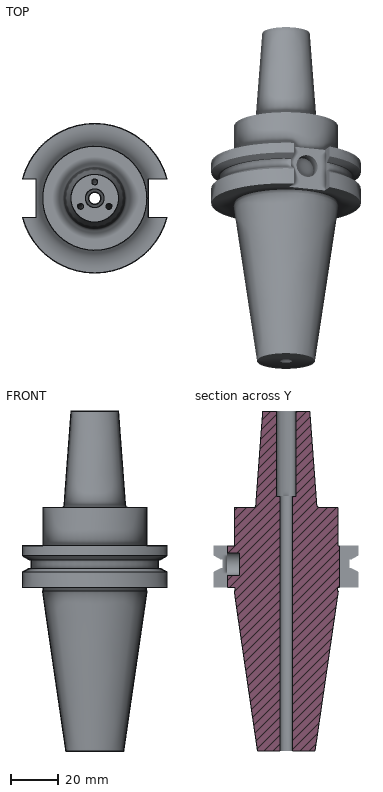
import cadquery as cq
import math

total_length = 144.5

taper_height = 68.2
taper_top_radius = 22.2
taper_bottom_radius = taper_top_radius - taper_height * 7 / 48
relief_radius = 22.0

flange_bottom = 69.5
flange_top = 87.4
flange_radius = 31.8
groove_floor_radius = 28.2
groove_shoulder_radius = 28.9
groove_bottom = 76.1
groove_floor_bottom = 77.7
groove_floor_top = 81.3
groove_top = 83.0

slot_width = 16.2
left_slot_floor = 25.0
right_slot_floor = 22.8
slot_hole_diameter = 9.5
slot_hole_height = 79.5
slot_hole_depth = 5.0

collar_radius = 22.1
collar_top = 103.5
nose_tip_radius = 10.1
nose_root_radius = 13.1
root_fillet = 1.0

tool_bore_diameter = 8.0
tool_bore_depth = 36.1
through_bore_diameter = 5.0
coolant_hole_count = 3
coolant_hole_diameter = 2.5
coolant_circle_radius = 7.0
coolant_hole_depth = 40.5
coolant_tilt = math.atan2(nose_root_radius - nose_tip_radius, total_length - collar_top)


def make_body():
    """Revolve the outer profile and blend the nose into the collar."""
    profile = [
        (0, 0),
        (taper_bottom_radius, 0),
        (taper_top_radius, taper_height),
        (relief_radius, taper_height),
        (relief_radius, flange_bottom),
        (flange_radius, flange_bottom),
        (flange_radius, groove_bottom),
        (groove_shoulder_radius, groove_floor_bottom),
        (groove_floor_radius, groove_floor_bottom),
        (groove_floor_radius, groove_floor_top),
        (groove_shoulder_radius, groove_floor_top),
        (flange_radius, groove_top),
        (flange_radius, flange_top),
        (collar_radius, flange_top),
        (collar_radius, collar_top),
        (nose_root_radius, collar_top),
        (nose_tip_radius, total_length),
        (0, total_length),
    ]
    body = cq.Workplane("XZ").polyline(profile).close().revolve(360, (0, 0, 0), (0, 1, 0))
    collar_face = body.faces(cq.selectors.NearestToPointSelector((0, 0, collar_top)))
    root_edge = collar_face.edges(cq.selectors.RadiusNthSelector(0))
    return root_edge.fillet(root_fillet)


def drive_slot(floor_distance, side):
    """Block that cuts one drive slot; side is -1 for -X and +1 for +X."""
    depth = flange_radius - floor_distance
    height = flange_top - flange_bottom
    center_x = side * (floor_distance + depth / 2)
    return cq.Workplane("XY", origin=(center_x, 0, flange_bottom)).rect(depth, slot_width).extrude(height)


def slot_hole():
    """Blind round hole in the floor of the -X slot."""
    floor_plane = cq.Workplane("YZ", origin=(-left_slot_floor, 0, slot_hole_height))
    return floor_plane.circle(slot_hole_diameter / 2).extrude(slot_hole_depth)


def central_bore():
    """Tool bore from the nose tip, continued by a smaller through bore."""
    through = cq.Workplane("XY").circle(through_bore_diameter / 2).extrude(total_length)
    tip = cq.Workplane("XY", origin=(0, 0, total_length))
    return through.union(tip.circle(tool_bore_diameter / 2).extrude(-tool_bore_depth))


def coolant_hole(angle):
    """Coolant hole from the nose tip, tilted in its radial plane."""
    outward = cq.Vector(math.cos(angle), math.sin(angle), 0)
    start = outward * coolant_circle_radius + cq.Vector(0, 0, total_length)
    direction = outward * math.sin(coolant_tilt) - cq.Vector(0, 0, math.cos(coolant_tilt))
    start = start - direction * coolant_hole_diameter
    length = coolant_hole_depth + coolant_hole_diameter
    return cq.Solid.makeCylinder(coolant_hole_diameter / 2, length, start, direction)


result = make_body()
result = result.cut(drive_slot(left_slot_floor, -1))
result = result.cut(drive_slot(right_slot_floor, 1))
result = result.cut(slot_hole())
result = result.cut(central_bore())
for index in range(coolant_hole_count):
    result = result.cut(coolant_hole(math.pi / 2 + index * 2 * math.pi / coolant_hole_count))